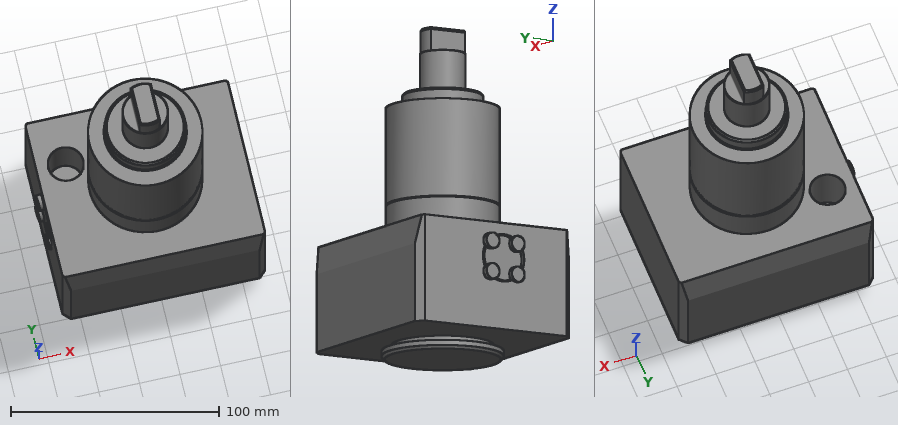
import cadquery as cq
import math

FLANGE_TOP = 4.0
BLOCK_BOTTOM = 7.0
TAPER_START = 45.0
BLOCK_TOP = 59.0
SLEEVE_TOP = 75.0
BODY_TOP = 122.6
COLLAR_TOP = 129.6
SHAFT_TOP = 149.5
TANG_TOP = 161.0

FLANGE_DIAMETER = 59.0
FLANGE_CHAMFER = 1.5
NECK_DIAMETER = 49.0
BODY_DIAMETER = 55.0
SLEEVE_CHAMFER = 0.5
SEAT_DIAMETER = 40.0
SEAT_HEIGHT = 0.5
COLLAR_DIAMETER = 39.0
COLLAR_CHAMFER = 1.0
SHAFT_DIAMETER = 22.0
SHAFT_CHAMFER = 0.2

TANG_THICKNESS = 10.0
TANG_DIAMETER = SHAFT_DIAMETER - 2 * SHAFT_CHAMFER
TANG_CHAMFER_HEIGHT = 1.0
TANG_CHAMFER_INSET = 0.6
TANG_FILLET = 0.5

BLOCK_LENGTH = 100.0
BLOCK_WIDTH = 86.0
CORNER_CHAMFER = 3.5
TAPER_ANGLE = 10.0

HOLE_DIAMETER = 17.2
HOLE_X = -35.5
HOLE_Y = 16.0
HOLE_DEPTH = 25.0

INSERT_DIAMETER = 23.0
INSERT_CHAMFER = 0.5
INSERT_THICKNESS = 10.0
INSERT_Y = -4.4
INSERT_BELOW_TOP = 17.0
INSERT_Z = BLOCK_TOP - INSERT_BELOW_TOP
INSERT_TILT = 5.5
INSERT_SINK = 0.48
PIN_DIAMETER = 7.6
PIN_SPACING = 15.0
PIN_PROTRUSION = 2.79
POCKET_CLEARANCE = 5.0


def disc(diameter, bottom, top):
    """Cylinder on the spindle axis between two heights."""
    return cq.Workplane("XY").workplane(offset=bottom).circle(diameter / 2).extrude(top - bottom)


def make_block():
    """Housing block with chamfered corners and tapered upper +Y and -Y sides."""
    prism = (
        cq.Workplane("XY")
        .workplane(offset=BLOCK_BOTTOM)
        .rect(BLOCK_LENGTH, BLOCK_WIDTH)
        .extrude(BLOCK_TOP - BLOCK_BOTTOM)
        .edges("|Z")
        .chamfer(CORNER_CHAMFER)
    )
    half_width = BLOCK_WIDTH / 2
    half_top = half_width - (BLOCK_TOP - TAPER_START) * math.tan(math.radians(TAPER_ANGLE))
    envelope = (
        cq.Workplane("YZ")
        .moveTo(-half_width, BLOCK_BOTTOM)
        .lineTo(half_width, BLOCK_BOTTOM)
        .lineTo(half_width, TAPER_START)
        .lineTo(half_top, BLOCK_TOP)
        .lineTo(-half_top, BLOCK_TOP)
        .lineTo(-half_width, TAPER_START)
        .close()
        .extrude(BLOCK_LENGTH, both=True)
    )
    hole = disc(HOLE_DIAMETER, BLOCK_TOP - HOLE_DEPTH, BLOCK_TOP).translate((HOLE_X, HOLE_Y, 0))
    return prism.intersect(envelope).cut(hole)


def add_insert(block):
    """Sink the tilted insert into the -X face and stand its four pins on it."""
    tilt = math.radians(INSERT_TILT)
    face = cq.Plane(
        origin=(INSERT_SINK - BLOCK_LENGTH / 2, INSERT_Y, INSERT_Z),
        xDir=(math.sin(tilt), -math.cos(tilt), 0),
        normal=(-math.cos(tilt), -math.sin(tilt), 0),
    )
    rim = PIN_SPACING / 2 + PIN_DIAMETER / 2
    pin_height = (PIN_PROTRUSION + INSERT_SINK - rim * math.sin(tilt)) / math.cos(tilt)
    pocket = (
        cq.Workplane(face)
        .workplane(offset=-INSERT_CHAMFER)
        .circle(INSERT_DIAMETER / 2)
        .extrude(INSERT_CHAMFER + POCKET_CLEARANCE)
    )
    insert = (
        cq.Workplane(face)
        .circle(INSERT_DIAMETER / 2)
        .extrude(-INSERT_THICKNESS)
        .faces("<X")
        .chamfer(INSERT_CHAMFER)
    )
    pins = (
        cq.Workplane(face)
        .workplane(offset=-INSERT_CHAMFER)
        .rect(PIN_SPACING, PIN_SPACING, forConstruction=True)
        .vertices()
        .circle(PIN_DIAMETER / 2)
        .extrude(INSERT_CHAMFER + pin_height)
    )
    return block.cut(pocket).union(insert).union(pins)


def make_spindle():
    """Stepped round column from the bottom flange up to the shaft."""
    flange = disc(FLANGE_DIAMETER, 0, FLANGE_TOP).faces("<Z").chamfer(FLANGE_CHAMFER)
    neck = disc(NECK_DIAMETER, FLANGE_TOP, BLOCK_BOTTOM)
    sleeve = disc(BODY_DIAMETER, BLOCK_TOP, SLEEVE_TOP).faces(">Z").chamfer(SLEEVE_CHAMFER)
    body = disc(BODY_DIAMETER, SLEEVE_TOP, BODY_TOP)
    seat = disc(SEAT_DIAMETER, BODY_TOP, BODY_TOP + SEAT_HEIGHT)
    collar = disc(COLLAR_DIAMETER, BODY_TOP, COLLAR_TOP).faces(">Z").chamfer(COLLAR_CHAMFER)
    shaft = disc(SHAFT_DIAMETER, COLLAR_TOP, SHAFT_TOP).faces(">Z").chamfer(SHAFT_CHAMFER)
    return [flange, neck, sleeve, body, seat, collar, shaft]


def make_tang():
    """Drive tang with filleted roots along its flats and a chamfered top."""
    half = TANG_THICKNESS / 2
    chamfer_start = TANG_TOP - TANG_CHAMFER_HEIGHT
    half_top = half - TANG_CHAMFER_INSET
    root = half + TANG_FILLET
    slab = (
        cq.Workplane("XZ")
        .moveTo(-root, SHAFT_TOP)
        .lineTo(root, SHAFT_TOP)
        .radiusArc((half, SHAFT_TOP + TANG_FILLET), TANG_FILLET)
        .lineTo(half, chamfer_start)
        .lineTo(half_top, TANG_TOP)
        .lineTo(-half_top, TANG_TOP)
        .lineTo(-half, chamfer_start)
        .lineTo(-half, SHAFT_TOP + TANG_FILLET)
        .radiusArc((-root, SHAFT_TOP), TANG_FILLET)
        .close()
        .extrude(SHAFT_DIAMETER, both=True)
    )
    post = (
        disc(TANG_DIAMETER, SHAFT_TOP, TANG_TOP)
        .faces(">Z")
        .edges()
        .chamfer(TANG_CHAMFER_HEIGHT, TANG_CHAMFER_INSET)
    )
    return post.intersect(slab)


result = add_insert(make_block())
for section in make_spindle():
    result = result.union(section)
result = result.union(make_tang())